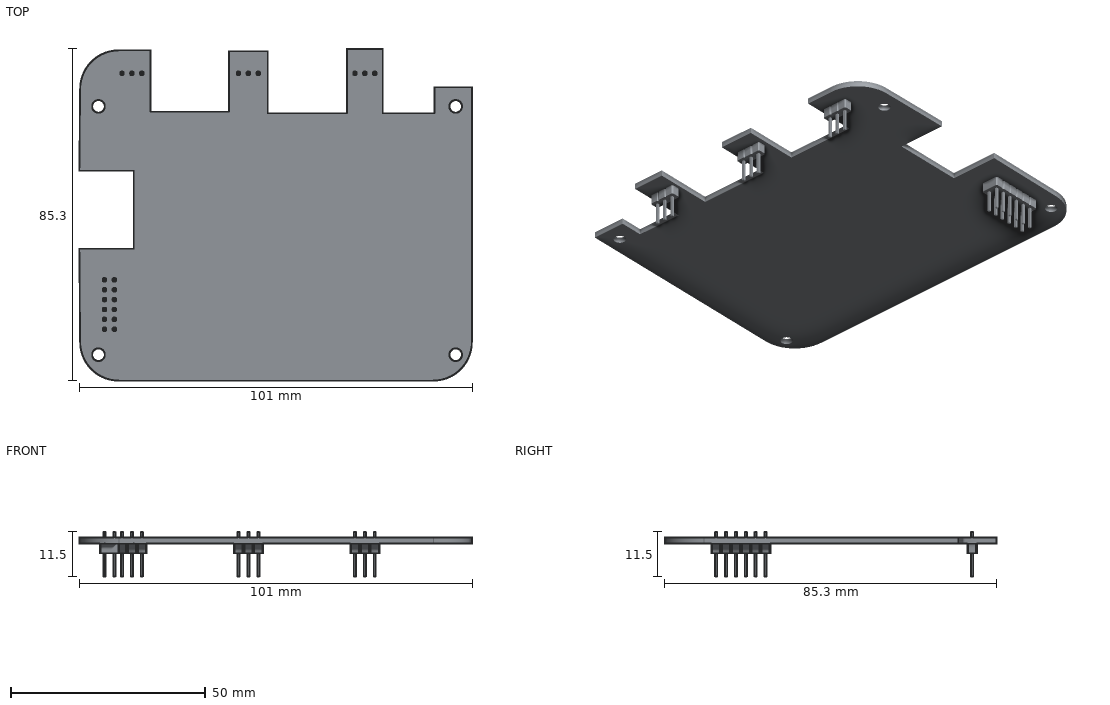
import cadquery as cq
import math

board_length = 101.0
board_thickness = 1.6
board_top_y = 85.0
corner_radius = 10.0
left_edge_taper = 0.2

cutout_depth = 14.0
cutout_bottom_y = 34.0
cutout_top_y = 54.0

first_tab_right = 18.35
second_tab_left = 38.45
second_tab_right = 48.5
second_tab_top = 84.75
third_tab_left = 68.8
third_tab_right = 78.05
third_tab_top = 85.35
last_tab_left = 91.35
last_tab_top = 75.5
first_gap_floor = 69.2
other_gap_floor = 68.8

mount_hole_diameter = 3.2
mount_hole_x = (4.95, 96.8)
mount_hole_y = (6.7, 70.55)
pin_hole_diameter = 1.0

pitch = 2.54
insulator_height = 2.54
insulator_chamfer = 0.3
pin_width = 0.64
pin_length = 11.54
pin_tip_chamfer = 0.16
pin_below_insulator = 6.0
pin_bottom_z = -insulator_height - pin_below_insulator

servo_pin_count = 3
servo_header_x = (13.55, 43.5, 73.45)
servo_header_y = 79.05
side_columns = 2
side_rows = 6
side_header_x = 7.77
side_header_y = 19.6


def pin_points(center_x, center_y, columns, rows):
    """Pin centers of a header grid."""
    return [
        (center_x + (i - (columns - 1) / 2) * pitch, center_y + (j - (rows - 1) / 2) * pitch)
        for i in range(columns)
        for j in range(rows)
    ]


def make_board(all_pins):
    """Flat board with its edge cutouts, mounting holes and pin holes."""
    arc_mid = corner_radius * (1 - math.sqrt(0.5))
    left = left_edge_taper
    right = board_length
    top = board_top_y
    outline = (
        cq.Workplane("XY")
        .moveTo(left + corner_radius, 0)
        .lineTo(right - corner_radius, 0)
        .threePointArc((right - arc_mid, arc_mid), (right, corner_radius))
        .lineTo(right, last_tab_top)
        .lineTo(last_tab_left, last_tab_top)
        .lineTo(last_tab_left, other_gap_floor)
        .lineTo(third_tab_right, other_gap_floor)
        .lineTo(third_tab_right, third_tab_top)
        .lineTo(third_tab_left, third_tab_top)
        .lineTo(third_tab_left, other_gap_floor)
        .lineTo(second_tab_right, other_gap_floor)
        .lineTo(second_tab_right, second_tab_top)
        .lineTo(second_tab_left, second_tab_top)
        .lineTo(second_tab_left, first_gap_floor)
        .lineTo(first_tab_right, first_gap_floor)
        .lineTo(first_tab_right, top)
        .lineTo(left + corner_radius, top)
        .threePointArc((left + arc_mid, top - arc_mid), (left, top - corner_radius))
        .lineTo(0, cutout_top_y)
        .lineTo(cutout_depth, cutout_top_y)
        .lineTo(cutout_depth, cutout_bottom_y)
        .lineTo(0, cutout_bottom_y)
        .lineTo(left, corner_radius)
        .threePointArc((left + arc_mid, arc_mid), (left + corner_radius, 0))
        .close()
    )
    mount_points = [(x, y) for x in mount_hole_x for y in mount_hole_y]
    mount_holes = cq.Workplane("XY").pushPoints(mount_points).circle(mount_hole_diameter / 2)
    pin_holes = cq.Workplane("XY").pushPoints(all_pins).circle(pin_hole_diameter / 2)
    return (
        outline.extrude(board_thickness)
        .cut(mount_holes.extrude(board_thickness))
        .cut(pin_holes.extrude(board_thickness))
    )


def make_header(center_x, center_y, columns, rows):
    """Header under the board: chamfered insulator blocks in a row, with square pins."""
    along_x = columns > rows
    block_count = max(columns, rows)
    block_width = min(columns, rows) * pitch
    block_size = (pitch, block_width) if along_x else (block_width, pitch)
    block_centers = pin_points(
        center_x, center_y, block_count if along_x else 1, 1 if along_x else block_count
    )
    header = (
        cq.Workplane("XY", origin=(0, 0, pin_bottom_z))
        .pushPoints(pin_points(center_x, center_y, columns, rows))
        .rect(pin_width, pin_width)
        .extrude(pin_length)
        .faces("<Z or >Z")
        .chamfer(pin_tip_chamfer)
    )
    for x, y in block_centers:
        block = (
            cq.Workplane("XY", origin=(x, y, -insulator_height))
            .rect(*block_size)
            .extrude(insulator_height)
            .edges("|Z")
            .chamfer(insulator_chamfer)
        )
        header = header.union(block)
    return header


servo_layouts = [(x, servo_header_y, servo_pin_count, 1) for x in servo_header_x]
side_layout = (side_header_x, side_header_y, side_columns, side_rows)
all_pin_points = [point for layout in [*servo_layouts, side_layout] for point in pin_points(*layout)]

board = make_board(all_pin_points)
servo_headers = [make_header(*layout) for layout in servo_layouts]
side_header = make_header(*side_layout)

result = cq.Compound.makeCompound(
    [board.val(), *[header.val() for header in servo_headers], side_header.val()]
)